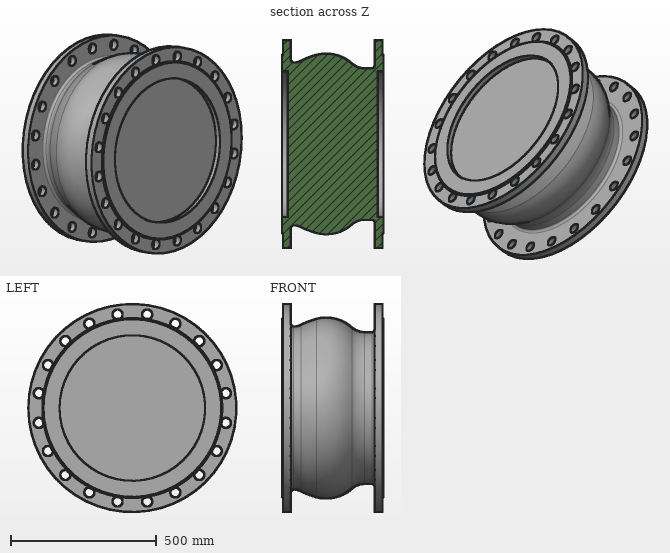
import cadquery as cq

length = 350.0
flange_diameter = 715.0

flange_thickness = 27.5
raised_face_height = 4.0
raised_face_rim_radius = 305.0
raised_face_base_radius = raised_face_rim_radius + raised_face_height

bolt_count = 20
bolt_circle_diameter = 650.0
bolt_hole_diameter = 34.0

recess_diameter = 500.0
recess_depth = 20.0

neck_radius = 261.0
root_fillet = 9.0
neck_length = 26.0
shoulder_x, shoulder_radius = 65.5, 277.5
crown_x, crown_radius = -56.0, 307.0
flank_x, flank_radius = -108.5, 286.5
throat_radius = 280.5
throat_root_radius = 288.0

end_x = length / 2
flange_outer_x = end_x - raised_face_height
flange_inner_x = flange_outer_x - flange_thickness
root_x = flange_inner_x - root_fillet
neck_x = root_x - neck_length


def make_body():
    """Solid bulged body between the flanges, revolved from a chain of tangent arcs."""
    profile = (
        cq.Workplane("XY")
        .moveTo(-flange_inner_x, 0)
        .lineTo(flange_inner_x, 0)
        .lineTo(flange_inner_x, neck_radius + root_fillet)
        .radiusArc((root_x, neck_radius), root_fillet)
        .lineTo(neck_x, neck_radius)
        .tangentArcPoint((shoulder_x, shoulder_radius), relative=False)
        .tangentArcPoint((crown_x, crown_radius), relative=False)
        .tangentArcPoint((flank_x, flank_radius), relative=False)
        .tangentArcPoint((-root_x, throat_radius), relative=False)
        .tangentArcPoint((-flange_inner_x, throat_root_radius), relative=False)
        .close()
    )
    return profile.revolve(360, (0, 0, 0), (1, 0, 0))


def make_flange():
    """Flange at the +X end with a bevelled raised face, bolt holes and the end recess."""
    flange = (
        cq.Workplane("XY")
        .moveTo(flange_inner_x, 0)
        .lineTo(flange_inner_x, flange_diameter / 2)
        .lineTo(flange_outer_x, flange_diameter / 2)
        .lineTo(flange_outer_x, raised_face_base_radius)
        .lineTo(end_x, raised_face_rim_radius)
        .lineTo(end_x, 0)
        .close()
        .revolve(360, (0, 0, 0), (1, 0, 0))
    )
    half_pitch = 180 / bolt_count
    bolt_holes = (
        cq.Workplane("YZ", origin=(flange_inner_x, 0, 0))
        .polarArray(bolt_circle_diameter / 2, half_pitch, 360, bolt_count)
        .circle(bolt_hole_diameter / 2)
        .extrude(flange_thickness + raised_face_height)
    )
    recess = (
        cq.Workplane("YZ", origin=(end_x - recess_depth, 0, 0))
        .circle(recess_diameter / 2)
        .extrude(recess_depth)
    )
    return flange.cut(bolt_holes).cut(recess)


flange = make_flange()
result = make_body().union(flange).union(flange.mirror("YZ"))